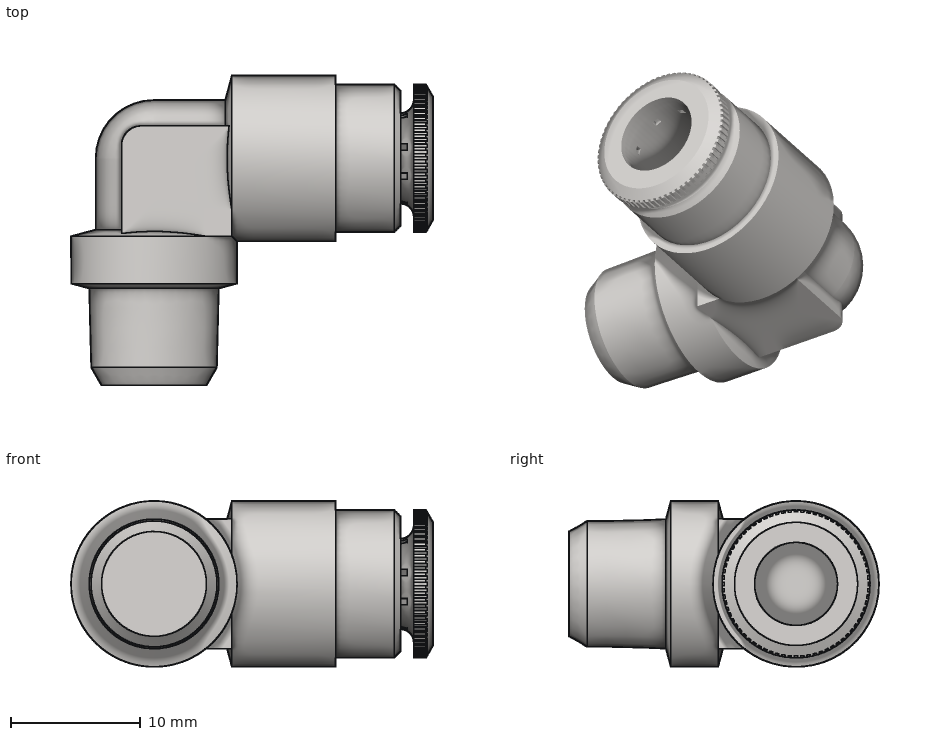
import cadquery as cq
import math


elbow_radius = 4.5
shoulder_radius = 6.4
shoulder_start = 6.0
shoulder_slope = math.tan(math.radians(15))
elbow_end = shoulder_start - (shoulder_radius - elbow_radius) * shoulder_slope

block_height = 10.0
block_outer = 2.5
block_corner_radius = 1.5

flange_end = 9.65
stud_root_radius = 5.0
stud_tip_radius = 4.85
stud_length = 17.5
stud_chamfer_length = 1.4
stud_chamfer_depth = stud_chamfer_length * math.tan(math.radians(30))
stud_root = flange_end + (shoulder_radius - stud_root_radius) * shoulder_slope

body_end = 14.0
collar_radius = 5.7
collar_end = 19.0
collar_chamfer = 0.5

neck_radius = 3.5
neck_fillet = 1.0
ring_start = collar_end + neck_fillet
ring_end = 21.5
ring_chamfer_length = 0.55
ring_chamfer_depth = ring_chamfer_length * math.tan(math.radians(60))

tooth_count = 72
groove_depth = 0.15
groove_width = math.pi * collar_radius / tooth_count

slot_side_count = 4
slot_offsets = (0.88, -1.37)
slot_width = 0.48
slot_length = 0.5

bore_radius = 3.2
bore_bottom = body_end


def turned_about_x(profile):
    """Revolve a closed (x, radius) profile about the X axis."""
    return profile.close().revolve(360, (0, 0, 0), (1, 0, 0))


def make_elbow():
    ball = cq.Workplane("XY").sphere(elbow_radius)
    block_size = shoulder_start + block_outer
    block_centre = (shoulder_start - block_outer) / 2
    block = (
        cq.Workplane("XY")
        .center(block_centre, -block_centre)
        .rect(block_size, block_size)
        .extrude(block_height / 2, both=True)
        .edges("|Z and <X and >Y")
        .fillet(block_corner_radius)
    )
    return ball.union(block)


def make_stud():
    profile = cq.Workplane("XY").polyline([
        (0, 0),
        (elbow_radius, 0),
        (elbow_radius, -elbow_end),
        (shoulder_radius, -shoulder_start),
        (shoulder_radius, -flange_end),
        (stud_root_radius, -stud_root),
        (stud_tip_radius, -(stud_length - stud_chamfer_length)),
        (stud_tip_radius - stud_chamfer_depth, -stud_length),
        (0, -stud_length),
    ])
    return profile.close().revolve(360, (0, 0, 0), (0, 1, 0))


def make_port():
    return turned_about_x(cq.Workplane("XY").polyline([
        (0, 0),
        (0, elbow_radius),
        (elbow_end, elbow_radius),
        (shoulder_start, shoulder_radius),
        (body_end, shoulder_radius),
        (body_end, collar_radius),
        (collar_end - collar_chamfer, collar_radius),
        (collar_end, collar_radius - collar_chamfer),
        (collar_end, 0),
    ]))


def around_ring(cutter, count):
    """Evenly spaced copies of a cutter about the X axis."""
    copies = cq.Workplane("XY")
    for index in range(count):
        angle = index * 360 / count
        copies.add(cutter.rotate((0, 0, 0), (1, 0, 0), angle))
    return copies.combine()


def make_knurl_grooves():
    groove = cq.Workplane("XY").box(
        ring_end - ring_start, groove_width, 2 * groove_depth,
        centered=(False, True, True),
    ).translate((ring_start, 0, collar_radius))
    return around_ring(groove, tooth_count)


def make_neck_slots():
    slot_pair = cq.Workplane("XY").pushPoints([
        (collar_end + slot_length / 2, offset) for offset in slot_offsets
    ]).rect(slot_length, slot_width).extrude(neck_radius + neck_fillet)
    return around_ring(slot_pair, slot_side_count)


def make_release_ring():
    fillet_mid = neck_fillet * math.sqrt(0.5)
    flare_radius = neck_radius + neck_fillet
    blank = turned_about_x(
        cq.Workplane("XY")
        .moveTo(collar_end - collar_chamfer, 0)
        .lineTo(collar_end - collar_chamfer, neck_radius)
        .lineTo(collar_end, neck_radius)
        .threePointArc(
            (collar_end + fillet_mid, flare_radius - fillet_mid),
            (ring_start, flare_radius),
        )
        .lineTo(ring_start, collar_radius)
        .lineTo(ring_end - ring_chamfer_length, collar_radius)
        .lineTo(ring_end, collar_radius - ring_chamfer_depth)
        .lineTo(ring_end, 0)
    )
    return blank.cut(make_knurl_grooves()).cut(make_neck_slots())


def make_tube_bore():
    return (
        cq.Workplane("YZ", origin=(bore_bottom, 0, 0))
        .circle(bore_radius)
        .extrude(ring_end - bore_bottom)
    )


result = (
    make_elbow()
    .union(make_stud())
    .union(make_port())
    .union(make_release_ring())
    .cut(make_tube_bore())
)